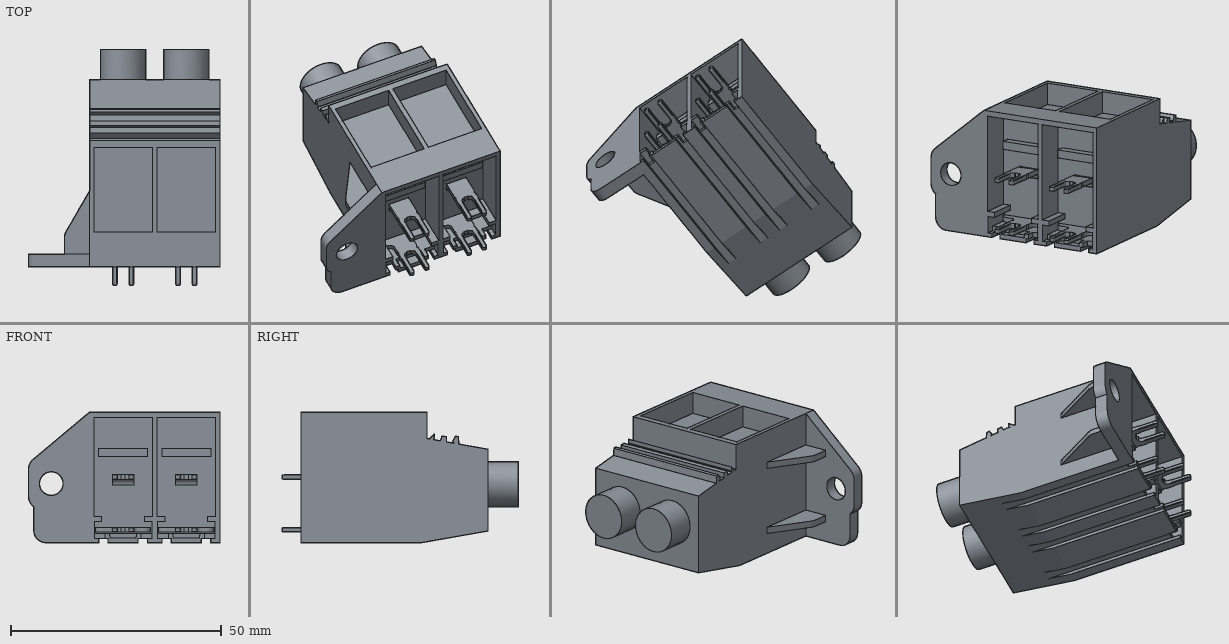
import cadquery as cq
import math


POLE_PITCH = 15.0
FIRST_POLE_X = 22.45
POLE_CENTRES = [FIRST_POLE_X, FIRST_POLE_X + POLE_PITCH]

HOUSING_LEFT = 14.5
HOUSING_RIGHT = 45.5
HOUSING_WIDTH = HOUSING_RIGHT - HOUSING_LEFT
HOUSING_HEIGHT = 31.0
HOUSING_DEPTH = 44.4
SHOULDER_Y = 29.95
BACK_TOP_Z = 22.25
BACK_BOTTOM_Z = 2.8
TAPER_ANGLE = math.radians(10)
BELLY_Y = HOUSING_DEPTH - BACK_BOTTOM_Z / math.tan(TAPER_ANGLE)

RIDGE_1 = {"back": 37.5, "front": 36.3, "crest": [(37.35, 25.2), (36.7, 25.35), (36.0, 24.15)]}
RIDGE_2 = {"back": 34.55, "front": 33.05, "crest": [(34.55, 25.2), (33.5, 25.35)]}
RIDGE_3 = {"back": 31.5, "front": 30.45, "crest": [(31.7, 24.85), (31.7, 25.9)]}

FLANGE_THICKNESS = 3.0
FLANGE_CORNER_Z = 18.9
FLANGE_ROUND = 3.0
EAR_BOTTOM_Z = 11.05
FLANGE_FOOT_X = 1.25
FLANGE_HOLE_DIAMETER = 5.55
FLANGE_HOLE_X = 5.45
FLANGE_HOLE_Z = 14.05

GUSSET_THICKNESS = 1.55
GUSSET_BOTTOMS = [5.05, 21.5]
GUSSET_OUTER_X = 8.5
GUSSET_BACK_Y = 18.05
GUSSET_KNEE_Y = 7.7
GUSSET_ROUND = 3.0

CELL_WIDTH = 13.9
POCKET_FRONT_Y = 8.25
POCKET_LENGTH = 20.1
POCKET_DEPTH = 5.25

CAVITY_DEPTH = 7.5
CAVITY_TOP_Z = 29.75
RAIL_TOP_Z = 6.3
RAIL_BOTTOM_Z = 5.05
RAIL_GAP = 10.15
LOWER_CAVITY_WIDTH = 13.6
FLOOR_Z = 2.2
BAR_WIDTH = 11.6
BAR_BOTTOM_Z = 20.45
BAR_HEIGHT = 1.95
BAR_DEPTH = 2.2

GROOVE_DEPTH = 1.0
GROOVE_INNER = 3.6
GROOVE_OUTER = 5.75
FLOOR_NOTCH_LENGTH = 2.2
TONGUE_WIDTH = 8.5
DISH_TOP_WIDTH = 6.5
DISH_BOTTOM_WIDTH = 6.15
DISH_BOTTOM_Z = 1.2

CONTACT_THICKNESS = 1.2
CONTACT_WIDTH = 5.1
PRONG_WIDTH = 1.2
PRONG_TIP_Y = -4.4
PRONG_EDGE = 0.14
PRONG_EDGE_START_Y = 0.35
PRONG_BEVEL_LENGTH = 0.7
PRONG_TIP_ROUND = 0.5
FORK_END_Y = 1.75
FORK_ROUND = 0.5
FORK_NOTCH_WIDTH = 1.0
FORK_NOTCH_DEPTH = 0.3
RELIEF_Y = 2.6
RELIEF_RADIUS = 0.7
RELIEF_DEPTH = 0.15
UPPER_CONTACT_Z = 15.0
LOWER_CONTACT_Z = 2.5
BEND_START_Y = 6.6
BEND_INNER_RADIUS = 1.25
BEND_OUTER_RADIUS = BEND_INNER_RADIUS + CONTACT_THICKNESS
BEND_BACK_Y = BEND_START_Y + BEND_OUTER_RADIUS
BEND_BOTTOM_Z = UPPER_CONTACT_Z - BEND_INNER_RADIUS
WING_WIDTH = 13.1
WING_FRONT_Y = 5.55
WING_ROUND = 1.55
WING_ROOT_ROUND = 1.05

BARREL_DIAMETER = 10.8
BARREL_LENGTH = 7.15
BARREL_Z = 13.9


def block(x_range, y_range, z_range):
    """Box given by its limits along each axis."""
    size = [high - low for low, high in (x_range, y_range, z_range)]
    corner = (x_range[0], y_range[0], z_range[0])
    return cq.Workplane("XY").box(*size, centered=False).translate(corner)


def centred(x, width):
    """Limits of a width centred on x."""
    return (x - width / 2, x + width / 2)


def slope_z(y):
    """Height of the top slope at depth y."""
    return BACK_TOP_Z + (HOUSING_DEPTH - y) * math.tan(TAPER_ANGLE)


def housing_block():
    """Full-width body with its tapered back and the grip ridges on the slope."""
    outline = [(0, 0), (BELLY_Y, 0), (HOUSING_DEPTH, BACK_BOTTOM_Z), (HOUSING_DEPTH, BACK_TOP_Z)]
    for ridge in (RIDGE_1, RIDGE_2, RIDGE_3):
        outline.append((ridge["back"], slope_z(ridge["back"])))
        outline += ridge["crest"]
        outline.append((ridge["front"], slope_z(ridge["front"])))
    outline += [(SHOULDER_Y, slope_z(SHOULDER_Y)), (SHOULDER_Y, HOUSING_HEIGHT), (0, HOUSING_HEIGHT)]
    plane = cq.Workplane("YZ", origin=(HOUSING_LEFT, 0, 0))
    return plane.polyline(outline).close().extrude(HOUSING_WIDTH)


def flange():
    """Mounting ear on the left side, flush with the front face."""
    ear_fall = math.sqrt(FLANGE_ROUND**2 - (FLANGE_ROUND - FLANGE_FOOT_X)**2)
    half_angle = math.acos((FLANGE_ROUND - FLANGE_FOOT_X) / FLANGE_ROUND) / 2
    ear_middle = (
        FLANGE_ROUND * (1 - math.cos(half_angle)),
        EAR_BOTTOM_Z - FLANGE_ROUND * math.sin(half_angle),
    )
    plate = (
        cq.Workplane("XZ")
        .moveTo(HOUSING_LEFT, HOUSING_HEIGHT)
        .lineTo(0, FLANGE_CORNER_Z)
        .lineTo(0, EAR_BOTTOM_Z)
        .threePointArc(ear_middle, (FLANGE_FOOT_X, EAR_BOTTOM_Z - ear_fall))
        .lineTo(FLANGE_FOOT_X, 0)
        .lineTo(HOUSING_LEFT, 0)
        .close()
        .extrude(-FLANGE_THICKNESS)
    )
    middle_y = FLANGE_THICKNESS / 2
    for corner in ((0, middle_y, FLANGE_CORNER_Z), (FLANGE_FOOT_X, middle_y, 0)):
        plate = plate.edges(cq.selectors.NearestToPointSelector(corner)).fillet(FLANGE_ROUND)
    hole = (
        cq.Workplane("XZ")
        .center(FLANGE_HOLE_X, FLANGE_HOLE_Z)
        .circle(FLANGE_HOLE_DIAMETER / 2)
        .extrude(-FLANGE_THICKNESS)
    )
    return plate.cut(hole)


def gusset(bottom_z):
    """Horizontal stiffening web between the flange and the housing side."""
    outline = [
        (HOUSING_LEFT, FLANGE_THICKNESS),
        (GUSSET_OUTER_X, FLANGE_THICKNESS),
        (GUSSET_OUTER_X, GUSSET_KNEE_Y),
        (HOUSING_LEFT, GUSSET_BACK_Y),
    ]
    web = (
        cq.Workplane("XY", origin=(0, 0, bottom_z))
        .polyline(outline)
        .close()
        .extrude(GUSSET_THICKNESS)
    )
    knee = (GUSSET_OUTER_X, GUSSET_KNEE_Y, bottom_z + GUSSET_THICKNESS / 2)
    return web.edges(cq.selectors.NearestToPointSelector(knee)).fillet(GUSSET_ROUND)


def top_pocket(x):
    """Blind pocket in the top face above one pole."""
    return block(
        centred(x, CELL_WIDTH),
        (POCKET_FRONT_Y, POCKET_FRONT_Y + POCKET_LENGTH),
        (HOUSING_HEIGHT - POCKET_DEPTH, HOUSING_HEIGHT),
    )


def front_cavity(x):
    """Open front cavity of one pole, leaving the two side rails and the bar on its back wall."""
    depth = (0, CAVITY_DEPTH)
    upper = block(centred(x, CELL_WIDTH), depth, (RAIL_TOP_Z, CAVITY_TOP_Z))
    between_rails = block(centred(x, RAIL_GAP), depth, (RAIL_BOTTOM_Z, RAIL_TOP_Z))
    lower = block(centred(x, LOWER_CAVITY_WIDTH), depth, (FLOOR_Z, RAIL_BOTTOM_Z))
    bar = block(
        centred(x, BAR_WIDTH),
        (CAVITY_DEPTH - BAR_DEPTH, CAVITY_DEPTH),
        (BAR_BOTTOM_Z, BAR_BOTTOM_Z + BAR_HEIGHT),
    )
    return upper.union(between_rails).union(lower).cut(bar)


def floor_cuts(x):
    """Underside grooves, front floor notches and dished tongue of one pole."""
    cuts = cq.Workplane("XY")
    for side in (-1, 1):
        groove_x = sorted((x + side * GROOVE_INNER, x + side * GROOVE_OUTER))
        notch_x = sorted((x + side * TONGUE_WIDTH / 2, x + side * LOWER_CAVITY_WIDTH / 2))
        cuts = cuts.add(block(groove_x, (0, HOUSING_DEPTH), (0, GROOVE_DEPTH)))
        cuts = cuts.add(block(notch_x, (0, FLOOR_NOTCH_LENGTH), (GROOVE_DEPTH, FLOOR_Z)))
    dish = (
        cq.Workplane("XZ")
        .polyline([
            (x - DISH_TOP_WIDTH / 2, FLOOR_Z),
            (x - DISH_BOTTOM_WIDTH / 2, DISH_BOTTOM_Z),
            (x + DISH_BOTTOM_WIDTH / 2, DISH_BOTTOM_Z),
            (x + DISH_TOP_WIDTH / 2, FLOOR_Z),
        ])
        .close()
        .extrude(-FLOOR_NOTCH_LENGTH)
    )
    return cuts.add(dish).combine()


def contact_slot(x):
    """Slot in the cavity's back wall that takes the bent end of the upper contact."""
    return block(
        centred(x, CONTACT_WIDTH),
        (CAVITY_DEPTH, BEND_BACK_Y),
        (BEND_BOTTOM_Z, UPPER_CONTACT_Z + CONTACT_THICKNESS),
    )


def make_housing():
    """Complete housing with flange, gussets and the openings of every pole."""
    body = housing_block().union(flange())
    for bottom_z in GUSSET_BOTTOMS:
        body = body.union(gusset(bottom_z))
    for x in POLE_CENTRES:
        for feature in (top_pocket, front_cavity, floor_cuts, contact_slot):
            body = body.cut(feature(x))
    return body



def fork_blank(back_y, z_range):
    """Plain strip ending in two prongs with rounded tips, extruded over a range of heights."""
    strip = block(centred(0, CONTACT_WIDTH), (PRONG_TIP_Y, back_y), z_range)

    fork_width = CONTACT_WIDTH - 2 * PRONG_WIDTH
    fork = block(centred(0, fork_width), (PRONG_TIP_Y, FORK_END_Y), z_range)
    fork = fork.edges("|Z and >Y").fillet(FORK_ROUND)
    fork_notch = block(
        centred(0, FORK_NOTCH_WIDTH), (FORK_END_Y, FORK_END_Y + FORK_NOTCH_DEPTH), z_range
    )
    strip = strip.cut(fork).cut(fork_notch)
    strip = strip.edges("|Z and <Y").fillet(PRONG_TIP_ROUND)

    relief_x = CONTACT_WIDTH / 2 - RELIEF_DEPTH + RELIEF_RADIUS
    reliefs = (
        cq.Workplane("XY", origin=(0, 0, z_range[0]))
        .pushPoints([(-relief_x, RELIEF_Y), (relief_x, RELIEF_Y)])
        .circle(RELIEF_RADIUS)
        .extrude(z_range[1] - z_range[0])
    )
    return strip.cut(reliefs)


def prong_edge_trim(bottom_z):
    """Material removed from the long edges of both prongs."""
    prong_x = (CONTACT_WIDTH - PRONG_WIDTH) / 2
    trim = cq.Workplane("XY")
    for x in (-prong_x, prong_x):
        square = block(
            centred(x, PRONG_WIDTH),
            (PRONG_TIP_Y, PRONG_EDGE_START_Y),
            (bottom_z, bottom_z + CONTACT_THICKNESS),
        )
        trim = trim.add(square.cut(square.edges("|Y").chamfer(PRONG_EDGE)))
    return trim


def side_profile_start(bottom_z):
    """Begin the contact's side outline at the tip: bevelled lower edge, then the upper edge."""
    top_z = bottom_z + CONTACT_THICKNESS
    bevel_y = PRONG_TIP_Y + PRONG_BEVEL_LENGTH
    return (
        cq.Workplane("YZ", origin=(-WING_WIDTH / 2, 0, 0))
        .moveTo(bevel_y, bottom_z)
        .lineTo(PRONG_TIP_Y, bottom_z + PRONG_EDGE)
        .lineTo(PRONG_TIP_Y, top_z - PRONG_EDGE)
        .lineTo(bevel_y, top_z)
    )


def trim_prongs(contact, bottom_z):
    """Chamfer the long edges of both prongs of a contact."""
    for trim in prong_edge_trim(bottom_z).vals():
        contact = contact.cut(cq.Workplane(trim))
    return contact


def make_upper_contact():
    """Forked strip whose back end bends down into the housing wall."""
    top_z = UPPER_CONTACT_Z + CONTACT_THICKNESS
    bend_centre = (BEND_START_Y, BEND_BOTTOM_Z)
    outer_middle = [c + BEND_OUTER_RADIUS * math.sqrt(0.5) for c in bend_centre]
    inner_middle = [c + BEND_INNER_RADIUS * math.sqrt(0.5) for c in bend_centre]
    profile = (
        side_profile_start(UPPER_CONTACT_Z)
        .lineTo(BEND_START_Y, top_z)
        .threePointArc(outer_middle, (BEND_BACK_Y, BEND_BOTTOM_Z))
        .lineTo(BEND_START_Y + BEND_INNER_RADIUS, BEND_BOTTOM_Z)
        .threePointArc(inner_middle, (BEND_START_Y, UPPER_CONTACT_Z))
        .close()
        .extrude(WING_WIDTH)
    )
    contact = fork_blank(BEND_BACK_Y, (BEND_BOTTOM_Z, top_z)).intersect(profile)
    return trim_prongs(contact, UPPER_CONTACT_Z)


def make_lower_contact():
    """Flat forked strip with a wide wing against the cavity's back wall."""
    heights = (LOWER_CONTACT_Z, LOWER_CONTACT_Z + CONTACT_THICKNESS)
    wing = block(centred(0, WING_WIDTH), (WING_FRONT_Y, CAVITY_DEPTH), heights)
    wing = wing.edges("|Z and <Y").fillet(WING_ROUND)
    blank = fork_blank(CAVITY_DEPTH, heights).union(wing)
    for root_x in (-CONTACT_WIDTH / 2, CONTACT_WIDTH / 2):
        root = (root_x, WING_FRONT_Y, LOWER_CONTACT_Z + CONTACT_THICKNESS / 2)
        blank = blank.edges(cq.selectors.NearestToPointSelector(root)).fillet(WING_ROOT_ROUND)
    profile = (
        side_profile_start(LOWER_CONTACT_Z)
        .lineTo(CAVITY_DEPTH, heights[1])
        .lineTo(CAVITY_DEPTH, heights[0])
        .close()
        .extrude(WING_WIDTH)
    )
    return trim_prongs(blank.intersect(profile), LOWER_CONTACT_Z)


def make_barrel(x):
    """Screw barrel standing on the housing's back face."""
    plane = cq.Workplane("XZ", origin=(x, HOUSING_DEPTH, BARREL_Z))
    return plane.circle(BARREL_DIAMETER / 2).extrude(-BARREL_LENGTH)


housing = make_housing()
upper_contact = make_upper_contact()
lower_contact = make_lower_contact()

bodies = [housing.val()]
for pole_x in POLE_CENTRES:
    bodies.append(upper_contact.translate((pole_x, 0, 0)).val())
    bodies.append(lower_contact.translate((pole_x, 0, 0)).val())
    bodies.append(make_barrel(pole_x).val())

result = cq.Compound.makeCompound(bodies)